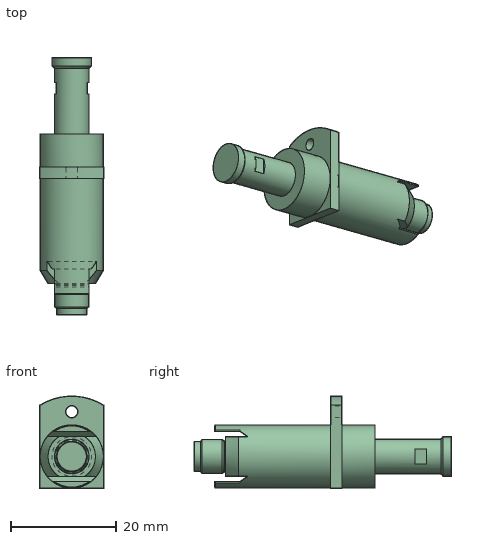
import cadquery as cq

length = 48.9

body_radius = 6.0
body_back = 34.45
nose_front = 5.9
nose_radius = 4.5
nose_cone_start = 8.4
nose_half_height = 3.75

tab_front = 3.85
tab_back = 8.75
tab_half_width = 3.33
tab_inner_height = 4.75
tab_edge_chamfer = 0.2
slot_end = 10.15

pin_radius = 3.3
pin_tip_radius = 2.9
pin_tip_length = 1.2
pin_tip_edge_chamfer = 0.1
pin_shoulder_chamfer = 0.3
pin_groove_front = 5.35
pin_groove_depth = 0.3
pin_groove_back_chamfer = 0.15

stem_radius = 3.33
head_radius = 3.75
head_length = 1.55
flat_front = 42.0
flat_back = 44.15
flat_half_spacing = 3.0

plate_width = 12.2
plate_bottom = -6.05
plate_top_radius = 11.5
plate_front = 25.95
plate_thickness = 2.1
plate_hole_diameter = 2.25
plate_hole_height = 8.5


def turned(profile):
    """Revolve a list of (radius, y) corners about the Y axis."""
    return cq.Workplane("XY").polyline(profile).close().revolve(360, (0, 0, 0), (0, 1, 0))


def block(x_range, y_range, z_range):
    """Make a box between pairs of X, Y and Z limits."""
    limits = (x_range, y_range, z_range)
    sizes = [high - low for low, high in limits]
    lows = [low for low, high in limits]
    return cq.Workplane("XY").box(*sizes, centered=False).translate(tuple(lows))


def make_body():
    """Body with a conical nose, its front cut down above and below to leave room behind the tabs."""
    barrel = turned([
        (0, nose_front),
        (nose_radius, nose_front),
        (body_radius, nose_cone_start),
        (body_radius, body_back),
        (0, body_back),
    ])
    side_outline = [
        (nose_front, -nose_half_height),
        (slot_end, -nose_half_height),
        (tab_back, -tab_inner_height),
        (tab_back, -body_radius),
        (body_back, -body_radius),
        (body_back, body_radius),
        (tab_back, body_radius),
        (tab_back, tab_inner_height),
        (slot_end, nose_half_height),
        (nose_front, nose_half_height),
    ]
    side_shape = cq.Workplane("YZ").polyline(side_outline).close().extrude(body_radius, both=True)
    return barrel.intersect(side_shape)


def make_tabs():
    """Round-backed strips above and below the nose, with a small chamfer on the outer front edge."""
    shell = turned([
        (0, tab_front),
        (body_radius - tab_edge_chamfer, tab_front),
        (body_radius, tab_front + tab_edge_chamfer),
        (body_radius, body_back),
        (0, body_back),
    ])
    strip = block(
        (-tab_half_width, tab_half_width),
        (tab_front, slot_end),
        (tab_inner_height, body_radius),
    )
    return shell.intersect(strip.union(strip.mirror("XY")))


def make_pin():
    """Front pin with a reduced tip and a narrow groove where it meets the nose."""
    neck_radius = pin_radius - pin_groove_depth
    return turned([
        (0, 0),
        (pin_tip_radius - pin_tip_edge_chamfer, 0),
        (pin_tip_radius, pin_tip_edge_chamfer),
        (pin_tip_radius, pin_tip_length),
        (pin_radius, pin_tip_length + pin_shoulder_chamfer),
        (pin_radius, pin_groove_front),
        (neck_radius, pin_groove_front + pin_groove_depth),
        (neck_radius, nose_front - pin_groove_back_chamfer),
        (neck_radius + pin_groove_back_chamfer, nose_front),
        (0, nose_front),
    ])


def make_stem():
    """Back stem ending in a chamfered head, with two wrench flats."""
    head_front = length - head_length
    stem = turned([
        (0, body_back),
        (stem_radius, body_back),
        (stem_radius, head_front - (head_radius - stem_radius)),
        (head_radius, head_front),
        (head_radius, length),
        (0, length),
    ])
    cutter = block(
        (flat_half_spacing, head_radius),
        (flat_front, flat_back),
        (-stem_radius, stem_radius),
    )
    return stem.cut(cutter).cut(cutter.mirror("YZ"))


def make_plate():
    """Plate with a rounded top edge centred on the body axis and one hole."""
    top_disc = cq.Workplane("XZ").circle(plate_top_radius).extrude(-plate_thickness)
    sides = block(
        (-plate_width / 2, plate_width / 2),
        (0, plate_thickness),
        (plate_bottom, plate_top_radius),
    )
    hole = (
        cq.Workplane("XZ")
        .center(0, plate_hole_height)
        .circle(plate_hole_diameter / 2)
        .extrude(-plate_thickness)
    )
    return top_disc.intersect(sides).cut(hole).translate((0, plate_front, 0))


result = (
    make_body()
    .union(make_tabs())
    .union(make_pin())
    .union(make_stem())
    .union(make_plate())
)